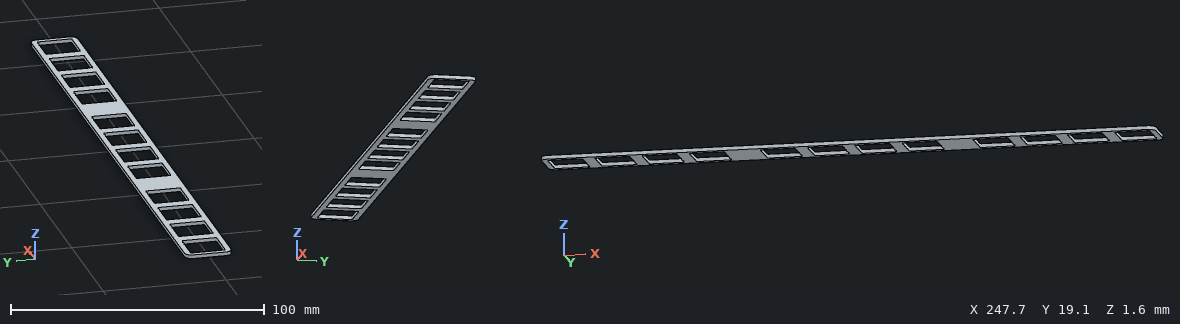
import cadquery as cq

plate_length = 247.7
units_long = 13
key_unit = plate_length / units_long
plate_width = key_unit
plate_thickness = 1.6
plate_corner_radius = 3.0

group_count = 3
keys_per_group = 4
group_gap = key_unit / 2
group_pitch = keys_per_group * key_unit + group_gap

solid_panel_width = 14.5
opening_side = key_unit + group_gap - solid_panel_width
opening_corner_radius = 0.5


def rounded_slab(length, width, corner_radius):
    """Flat slab of plate thickness, centred in X and Y, with rounded vertical edges."""
    slab = cq.Workplane("XY").box(length, width, plate_thickness, centered=(True, True, False))
    return slab.edges("|Z").fillet(corner_radius)


def opening_centres():
    """Centre of every key opening along the row, from -X to +X."""
    first_x = (key_unit - plate_length) / 2
    return [
        (first_x + group * group_pitch + key * key_unit, 0)
        for group in range(group_count)
        for key in range(keys_per_group)
    ]


plate = rounded_slab(plate_length, plate_width, plate_corner_radius)
opening = rounded_slab(opening_side, opening_side, opening_corner_radius)
openings = (
    cq.Workplane("XY")
    .pushPoints(opening_centres())
    .eachpoint(lambda place: opening.val().moved(place))
)

result = plate.cut(openings)